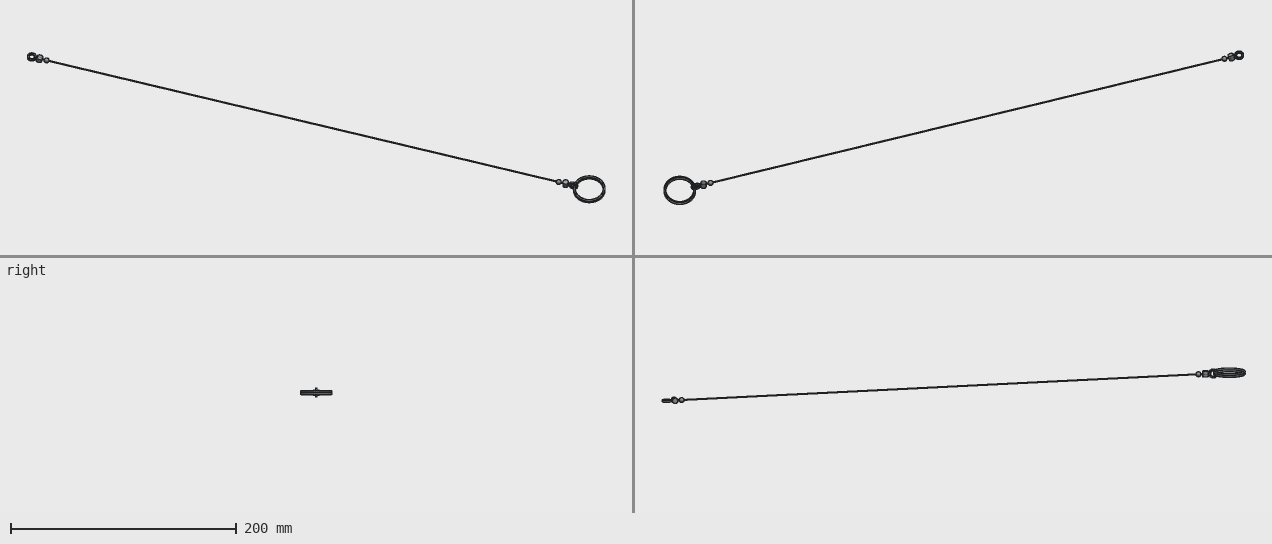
import cadquery as cq

total_length = 533.0

cable_diameter = 0.9

eye_diameter = 8.0
eye_hole_diameter = 5.0
eye_thickness = 1.5
barrel_diameter = 5.0
barrel_length = 5.0
barrel_center = 11.0
ball_diameter = 4.55
ball_center = 17.5

ring_diameter = 28.0
ring_wire_diameter = 1.85
coil_spacing = 1.75
eye_reach_into_ring = 3.45

ring_center_x = total_length - ring_diameter / 2
far_tip_x = total_length - ring_diameter + eye_reach_into_ring


def rod(start_x, end_x, diameter):
    """Round bar on the X axis."""
    return cq.Workplane("YZ", origin=(start_x, 0, 0)).circle(diameter / 2).extrude(end_x - start_x)


def end_fitting():
    """Eye in the XY plane with its tip at X = 0, then a barrel along Y and a ball."""
    eye = (
        cq.Workplane("XY")
        .center(eye_diameter / 2, 0)
        .circle(eye_diameter / 2)
        .circle(eye_hole_diameter / 2)
        .extrude(eye_thickness / 2, both=True)
    )
    eye_wall = (eye_diameter - eye_hole_diameter) / 2
    neck = rod(eye_diameter - eye_wall / 2, ball_center, cable_diameter)
    barrel = (
        cq.Workplane("XZ")
        .center(barrel_center, 0)
        .circle(barrel_diameter / 2)
        .extrude(barrel_length / 2, both=True)
    )
    ball = cq.Workplane("XY").sphere(ball_diameter / 2).translate((ball_center, 0, 0))
    return eye.union(neck).union(barrel).union(ball)


def split_ring():
    """Two closed coils stacked along Z, just overlapping."""
    coil_radius = (ring_diameter - ring_wire_diameter) / 2
    coil = cq.Workplane(cq.Solid.makeTorus(coil_radius, ring_wire_diameter / 2))
    lower_coil = coil.translate((ring_center_x, 0, -coil_spacing / 2))
    upper_coil = coil.translate((ring_center_x, 0, coil_spacing / 2))
    return lower_coil.union(upper_coil)


near_fitting = end_fitting()

far_fitting = (
    end_fitting()
    .rotate((0, 0, 0), (0, 0, 1), 180)
    .rotate((0, 0, 0), (1, 0, 0), 90)
    .translate((far_tip_x, 0, 0))
)
cable = rod(ball_center, far_tip_x - ball_center, cable_diameter)

result = cable.union(near_fitting).union(far_fitting).union(split_ring())